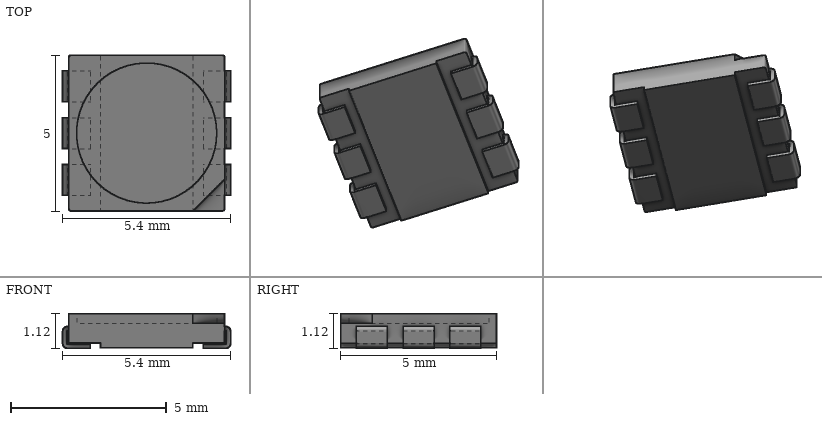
import cadquery as cq

overall_length = 5.4
housing_side = 5.0
overall_height = 1.12
standoff = 0.02
corner_radius = 0.07
pad_length = 2.97
polarity_leg = 1.015
polarity_depth = 0.3

lead_thickness = 0.15
lead_width = 1.0
lead_pitch = 1.5
lead_height = 0.715
lead_bend_radius = 0.175
foot_length = 0.89
leads_per_side = 3

lens_diameter = 4.5
lens_depth = polarity_depth

half_side = housing_side / 2
half_length = overall_length / 2
underside = lead_thickness + standoff


def make_block():
    """Square housing block with rounded vertical corners."""
    return (
        cq.Workplane("XY", origin=(0, 0, underside))
        .rect(housing_side, housing_side)
        .extrude(overall_height - underside)
        .edges("|Z")
        .fillet(corner_radius)
    )


def make_pad():
    """Pad across the full width of the underside."""
    return (
        cq.Workplane("XY", origin=(0, 0, standoff))
        .rect(pad_length, housing_side)
        .extrude(underside - standoff)
    )


def make_polarity_notch():
    """Triangular cutter for the +X, -Y top corner."""
    return (
        cq.Workplane("XY", origin=(half_side, -half_side, overall_height))
        .polyline([(0, 0), (0, polarity_leg), (-polarity_leg, 0)])
        .close()
        .extrude(-polarity_depth)
    )


def make_lead(y_center):
    """C-shaped lead on the +X side, from the housing wall down and under to the foot."""
    inner_x = half_length - lead_thickness
    foot_x = half_length - foot_length
    profile = [
        (half_side, lead_height),
        (half_length, lead_height),
        (half_length, 0),
        (foot_x, 0),
        (foot_x, lead_thickness),
        (inner_x, lead_thickness),
        (inner_x, lead_height - lead_thickness),
        (half_side, lead_height - lead_thickness),
    ]
    return (
        cq.Workplane("XZ", origin=(0, y_center + lead_width / 2, 0))
        .polyline(profile)
        .close()
        .extrude(lead_width)
        .edges("|Y and >X")
        .fillet(lead_bend_radius)
    )


def make_lens():
    """Round lens, flush with the top of the housing."""
    return (
        cq.Workplane("XY", origin=(0, 0, overall_height))
        .circle(lens_diameter / 2)
        .extrude(-lens_depth)
    )


def make_housing():
    """Housing with its leads formed on, notched and recessed for the lens."""
    body = make_block().union(make_pad()).cut(make_polarity_notch())
    for index in range(leads_per_side):
        y_center = (index - (leads_per_side - 1) / 2) * lead_pitch
        right_lead = make_lead(y_center)
        left_lead = right_lead.mirror("YZ")
        body = body.union(right_lead).union(left_lead)
    return body.cut(make_lens())


housing = make_housing()
lens = make_lens()

result = cq.Compound.makeCompound([housing.val(), lens.val()])